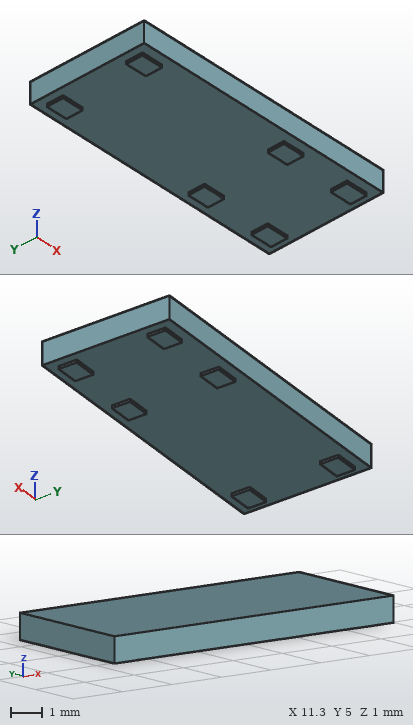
import cadquery as cq

BOARD_LENGTH = 11.3
BOARD_WIDTH = 5.0
TOTAL_HEIGHT = 1.0

PAD_LENGTH = 0.93
PAD_WIDTH = 0.71
PAD_THICKNESS = 0.1
PAD_CENTERS_X = (0.81, 7.5, 10.49)
PAD_ROW_INSET = 0.76

BOARD_THICKNESS = TOTAL_HEIGHT - PAD_THICKNESS
PAD_ROWS_Y = (PAD_ROW_INSET, BOARD_WIDTH - PAD_ROW_INSET)


def make_board():
    """Plate that rests on top of the pads."""
    board = cq.Workplane("XY").workplane(offset=PAD_THICKNESS)
    return board.box(BOARD_LENGTH, BOARD_WIDTH, BOARD_THICKNESS, centered=False)


def make_pad(center_x, center_y):
    """One rectangular contact pad below the board."""
    pad = cq.Workplane("XY").center(center_x, center_y)
    return pad.box(PAD_LENGTH, PAD_WIDTH, PAD_THICKNESS, centered=(True, True, False))


board = make_board()
pads = [make_pad(x, y).val() for x in PAD_CENTERS_X for y in PAD_ROWS_Y]

result = cq.Compound.makeCompound([board.val(), *pads])